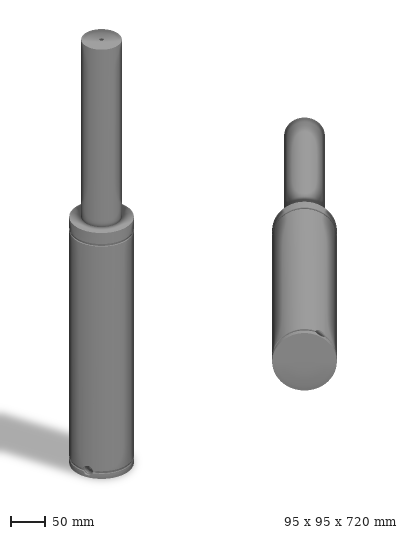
import cadquery as cq

total_height = 720.0
body_diameter = 95.0
body_height = 418.0
rod_diameter = 60.0

groove_width = 4.0
groove_depth = 2.0
lower_groove_bottom = 9.0
upper_groove_bottom = 395.0

rod_hole_diameter = 6.8
rod_hole_depth = 14.5

port_height = 11.5
port_mouth_diameter = 16.0
port_mouth_depth = 3.5
port_bore_diameter = 14.0
port_bore_depth = 11.0
port_core_diameter = 6.8
port_core_depth = 18.0

body_radius = body_diameter / 2


def groove_ring(bottom):
    """Ring of material removed from the outside of the body."""
    return (
        cq.Workplane("XY", origin=(0, 0, bottom))
        .circle(body_radius)
        .circle(body_radius - groove_depth)
        .extrude(groove_width)
    )


def port_cutter(diameter, depth):
    """Cylinder reaching inward from the -Y side of the body."""
    return (
        cq.Workplane("XZ", origin=(0, -body_radius, port_height))
        .circle(diameter / 2)
        .extrude(-depth)
    )


result = cq.Workplane("XY").circle(body_radius).extrude(body_height)
result = (
    result.faces(">Z")
    .workplane()
    .circle(rod_diameter / 2)
    .extrude(total_height - body_height)
)

for groove_bottom in (lower_groove_bottom, upper_groove_bottom):
    result = result.cut(groove_ring(groove_bottom))

result = result.faces(">Z").workplane().hole(rod_hole_diameter, rod_hole_depth)

result = result.cut(port_cutter(port_mouth_diameter, port_mouth_depth))
result = result.cut(port_cutter(port_bore_diameter, port_bore_depth))
result = result.cut(port_cutter(port_core_diameter, port_core_depth))